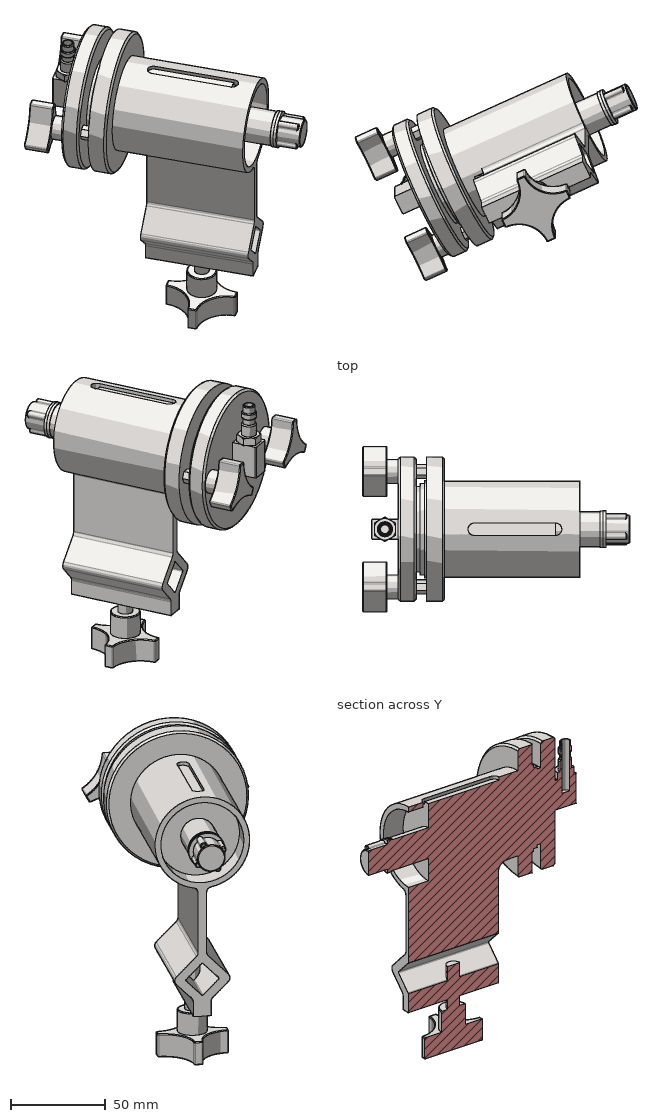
import cadquery as cq
import math


overall_height = 165.5
overlap = 1.7
hexagon_sides = 6

flange_diameter = 76.3
flange_thickness = 9.6
flange_chamfer = 1.2
flange_gap = 5.3
front_flange_face = -flange_gap - flange_thickness
seal_spigot_diameter = 45.3
seal_ring_diameter = 48.5
seal_ring_start = -3.3
seal_lip_diameter = 51.6
seal_lip_start = -0.8

body_diameter = 50.8
body_end = 81.0
sleeve_diameter = 47.0
sleeve_end = 68.2
rear_bore_diameter = 44.5
slot_width = 6.5
slot_start = 22.0
slot_length = 49.5

outlet_end = 107.4
outlet_diameter = 18.5
collar_start = 91.6
collar_step = 93.3
collar_end = 94.8
collar_diameter = 19.5
collar_step_diameter = 19.4
grip_diameter = 14.9
grip_chamfer = 0.5
rib_count = 4
rib_diameter = 3.3
rib_offset = 7.6
rib_root_radius = 0.5
rib_end = 105.9
rib_first_angle = 30

screw_offset = 30.5
clamp_screw_corners = 7.6
knob_thickness = 12.9
knob_edge_chamfer = 0.5
knob_corner_radius = 0.7
clamp_knob_face = -33.5
clamp_lobe_count = 3
clamp_lobe_reach = 14.2
clamp_lobe_width = 4.6
clamp_waist = 6.3
clamp_hub_diameter = 12.7
clamp_hub_height = front_flange_face - clamp_knob_face - knob_thickness

bracket_start = slot_start
bracket_length = body_end - bracket_start
stem_width = 4.6
socket_center = -76.1
socket_half_diagonal = 16.0
socket_hole_half_diagonal = 9.1
socket_hole_rounding = 0.5
bracket_rounding = 3.0
gusset_radius = 5.3
post_width = 9.6
post_bottom = -96.6

lock_screw_diameter = 8.0
lock_screw_top = -76.8
lock_lobe_count = 4
lock_lobe_reach = 19.0
lock_lobe_width = 5.0
lock_waist = 10.3
lock_hub_diameter = 15.9
lock_hub_top = -102.0
lock_knob_bottom = flange_diameter / 2 - overall_height
lock_hub_height = lock_hub_top - lock_knob_bottom - knob_thickness
hub_chamfer = 0.5

block_width = 10.8
block_depth = 13.9
block_bottom = -5.6
block_top = 12.2
block_chamfer = 0.5
fitting_x = front_flange_face - block_depth / 2
nut_corners = 12.9
nut_top = 16.5
nut_chamfer = 0.7
hose_diameter = 8.0
hose_neck_diameter = 6.5
shank_chamfer = 0.7
barb_chamfer = 0.5
shank_top = 23.0
barb_start = 26.0
barb_end = 29.6
fitting_top = 33.4
fitting_bore = 4.6
fitting_bore_bottom = 3.3


def disc(start, end, diameter):
    """Cylinder on the main axis between two X positions."""
    return cq.Workplane("YZ").workplane(offset=start).circle(diameter / 2).extrude(end - start)


def upright(bottom, top, diameter):
    """Vertical cylinder on the Z axis between two heights."""
    return cq.Workplane("XY").workplane(offset=bottom).circle(diameter / 2).extrude(top - bottom)


def polar(radius, angle):
    """Point at a radius and an angle in degrees."""
    turn = math.radians(angle)
    return radius * math.cos(turn), radius * math.sin(turn)


def knob(lobes, reach, lobe_width, waist, hub_diameter, hub_height):
    """Star knob on the XY plane with its hub upward and one lobe along -X."""
    pitch = 360 / lobes
    corner_radius = math.hypot(reach, lobe_width / 2)
    corner_angle = math.degrees(math.atan2(lobe_width / 2, reach))
    outline = cq.Workplane("XY").moveTo(*polar(corner_radius, 180 - corner_angle))
    for lobe in range(lobes):
        angle = 180 + lobe * pitch
        outline = outline.lineTo(*polar(corner_radius, angle + corner_angle))
        outline = outline.threePointArc(
            polar(waist, angle + pitch / 2),
            polar(corner_radius, angle + pitch - corner_angle),
        )
    head = outline.close().extrude(knob_thickness).edges("|Z").fillet(knob_corner_radius)
    head = head.faces("<Z or >Z").chamfer(knob_edge_chamfer)
    hub = upright(knob_thickness, knob_thickness + hub_height, hub_diameter)
    return head.union(hub)


def flanges():
    front = disc(front_flange_face, -flange_gap, flange_diameter)
    front = front.faces("<X or >X").chamfer(flange_chamfer)
    rear = disc(0, flange_thickness, flange_diameter).faces(">X").chamfer(flange_chamfer)
    ring = disc(seal_ring_start, 0, seal_ring_diameter)
    spigot = disc(-flange_gap, 0, seal_spigot_diameter)
    lip = disc(seal_lip_start, 0, seal_lip_diameter)
    return front.union(rear).union(spigot).union(ring).union(lip)


def body():
    """Tube with a slot down to its sleeve and a bore behind the sleeve, open at the rear."""
    slot = (
        cq.Workplane("XY")
        .center(slot_start + slot_length / 2, 0)
        .slot2D(slot_length, slot_width)
        .extrude(body_diameter)
    )
    sleeve = disc(0, sleeve_end, sleeve_diameter)
    rear_bore = disc(sleeve_end, body_end, rear_bore_diameter)
    return disc(0, body_end, body_diameter).cut(slot).union(sleeve).cut(rear_bore)


def outlet():
    pipe = disc(sleeve_end, collar_start, outlet_diameter)
    step = disc(collar_start, collar_step, collar_step_diameter)
    collar = disc(collar_step, collar_end, collar_diameter)
    grip = disc(collar_end, outlet_end, grip_diameter).faces(">X").chamfer(grip_chamfer)
    for index in range(rib_count):
        angle = rib_first_angle + index * 360 / rib_count
        rib = disc(collar_end, rib_end, rib_diameter).faces(">X").chamfer(grip_chamfer)
        rib = rib.translate((0, 0, rib_offset)).rotate((0, 0, 0), (1, 0, 0), angle)
        grip = grip.union(rib)
    root_corners = cq.selectors.BoxSelector(
        (collar_end, -grip_diameter, -grip_diameter), (rib_end, grip_diameter, grip_diameter)
    )
    grip = grip.edges("|X").edges(root_corners).fillet(rib_root_radius)
    return pipe.union(step).union(collar).union(grip)


def clamp_screw(side):
    """Three-lobed knob in front of the flange and its hexagonal screw across the gap."""
    handle = knob(
        clamp_lobe_count,
        clamp_lobe_reach,
        clamp_lobe_width,
        clamp_waist,
        clamp_hub_diameter,
        clamp_hub_height,
    )
    handle = handle.rotate((0, 0, 0), (0, 1, 0), 90).translate((clamp_knob_face, 0, 0))
    screw = (
        cq.Workplane("YZ")
        .workplane(offset=-flange_gap)
        .polygon(hexagon_sides, clamp_screw_corners)
        .extrude(flange_gap)
    )
    return handle.union(screw).translate((0, side * screw_offset, 0))


def bracket_bar(width, bottom, top):
    """Upright bar along the whole bracket."""
    return cq.Workplane("XY").box(
        bracket_length, width, top - bottom, centered=(False, True, False)
    ).translate((bracket_start, 0, bottom))


def bracket_diamond(half_diagonal):
    """Square bar standing on its edge, along the whole bracket."""
    return (
        cq.Workplane("YZ", origin=(bracket_start, 0, socket_center))
        .polygon(4, 2 * half_diagonal)
        .extrude(bracket_length)
    )


def body_fillet():
    """Rounded strips where the stem flares into the underside of the body."""
    body_radius = body_diameter / 2
    center_y = stem_width / 2 + bracket_rounding
    center_radius = body_radius + bracket_rounding
    center_z = -math.sqrt(center_radius**2 - center_y**2)
    touch_y = center_y * body_radius / center_radius
    touch_z = center_z * body_radius / center_radius
    toward_corner = math.atan2(
        center_z * (body_radius / center_radius - 1), touch_y - center_y
    )
    middle_angle = (toward_corner + math.pi) / 2
    middle_y = center_y + bracket_rounding * math.cos(middle_angle)
    middle_z = center_z + bracket_rounding * math.sin(middle_angle)
    return (
        cq.Workplane("YZ", origin=(bracket_start, 0, 0))
        .moveTo(-stem_width / 2, center_z)
        .lineTo(stem_width / 2, center_z)
        .threePointArc((middle_y, middle_z), (touch_y, touch_z))
        .lineTo(touch_y, touch_z + overlap)
        .lineTo(-touch_y, touch_z + overlap)
        .lineTo(-touch_y, touch_z)
        .threePointArc((-middle_y, middle_z), (-stem_width / 2, center_z))
        .close()
        .extrude(bracket_length)
    )


def gusset():
    """Concave fillet between the front edge of the stem and the body."""
    body_bottom = -body_diameter / 2
    corner = cq.Workplane("XY").box(
        gusset_radius, stem_width, gusset_radius + overlap, centered=(False, True, False)
    ).translate((bracket_start - gusset_radius, 0, body_bottom - gusset_radius))
    hollow = (
        cq.Workplane("XZ", origin=(bracket_start - gusset_radius, 0, body_bottom - gusset_radius))
        .circle(gusset_radius)
        .extrude(stem_width, both=True)
    )
    return corner.cut(hollow)


def bracket():
    socket = bracket_diamond(socket_half_diagonal)
    stem = bracket_bar(stem_width, socket_center, -body_diameter / 2 + overlap)
    post = bracket_bar(post_width, post_bottom, socket_center)
    part = socket.union(stem).union(post)
    inner_corners = cq.selectors.BoxSelector(
        (bracket_start, -post_width, post_bottom + overlap),
        (body_end, post_width, -body_diameter / 2),
    )
    part = part.edges("|X and (<Y or >Y)").fillet(bracket_rounding)
    part = part.edges("|X").edges(inner_corners).fillet(bracket_rounding)
    opening = bracket_diamond(socket_hole_half_diagonal).edges("|X").fillet(socket_hole_rounding)
    return part.cut(opening).union(body_fillet()).union(gusset())


def lock_screw():
    """Four-lobed knob whose screw rises through the post into the socket."""
    handle = knob(
        lock_lobe_count,
        lock_lobe_reach,
        lock_lobe_width,
        lock_waist,
        lock_hub_diameter,
        lock_hub_height,
    )
    handle = handle.faces(">Z").chamfer(hub_chamfer).translate((0, 0, lock_knob_bottom))
    screw = upright(lock_hub_top, lock_screw_top, lock_screw_diameter)
    return handle.union(screw).translate((bracket_start + bracket_length / 2, 0, 0))


def hose_fitting():
    block = (
        cq.Workplane("XY")
        .box(block_depth, block_width, block_top - block_bottom, centered=(True, True, False))
        .edges("|Z and <X")
        .chamfer(block_chamfer)
        .translate((0, 0, block_bottom))
    )
    nut = (
        cq.Workplane("XY")
        .workplane(offset=block_top)
        .polygon(hexagon_sides, nut_corners)
        .extrude(nut_top - block_top)
        .rotate((0, 0, 0), (0, 0, 1), 90)
    )
    nut_rounding = upright(block_top, nut_top, nut_corners).faces(">Z").chamfer(nut_chamfer)
    part = block.union(nut.intersect(nut_rounding))
    shank = upright(nut_top, shank_top, hose_diameter).faces(">Z").chamfer(shank_chamfer)
    part = part.union(shank)
    neck = upright(shank_top, fitting_top, hose_neck_diameter).faces(">Z").chamfer(barb_chamfer)
    barb = upright(barb_start, barb_end, hose_diameter).faces("<Z or >Z").chamfer(barb_chamfer)
    part = part.union(neck).union(barb)
    part = part.cut(upright(fitting_bore_bottom, fitting_top, fitting_bore))
    return part.translate((fitting_x, 0, 0))


result = body()
for piece in (
    flanges(),
    outlet(),
    clamp_screw(1),
    clamp_screw(-1),
    bracket(),
    lock_screw(),
    hose_fitting(),
):
    result = result.union(piece)